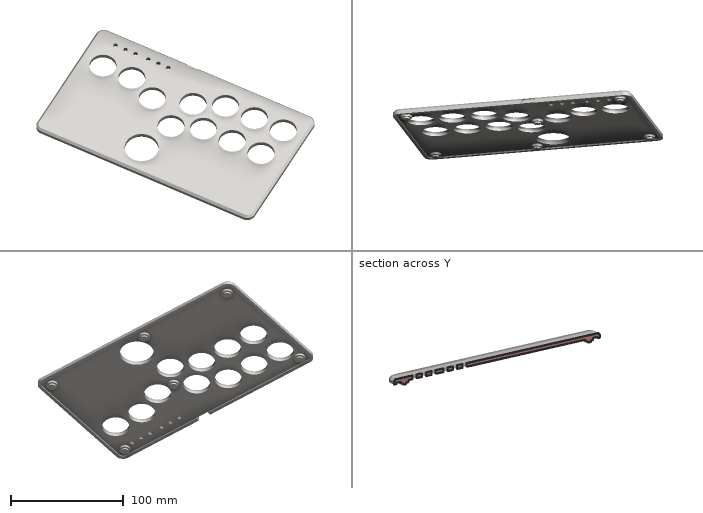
import cadquery as cq

LENGTH = 218.0
WIDTH = 126.5
TOTAL_HEIGHT = 7.2
CORNER_RADIUS = 7.5
TOP_CHAMFER = 2.0
PANEL_THICKNESS = 4.0
WALL_THICKNESS = 3.0

POST_DIAMETER = 10.0
POST_DROP = 0.76
PIN_DIAMETER = 6.3
PIN_LENGTH = 1.3
CASE_HEIGHT = TOTAL_HEIGHT - POST_DROP - PIN_LENGTH
CAVITY_DEPTH = CASE_HEIGHT - PANEL_THICKNESS
STANDOFF_X = 97.7
BACK_STANDOFF_Y = 53.5
FRONT_STANDOFF_Y = -52.0
MIDDLE_STANDOFF = (-11.8, 12.6)
FRONT_MIDDLE_STANDOFF_X = 5.0

BUTTON_DIAMETER = 24.0
THUMB_DIAMETER = 30.0
THUMB_CENTER = (-13.5, -38.5)
BUTTON_PITCH = 29.0
SINGLE_CENTERS = [(-31.0, 14.4), (4.0, 25.7), (-1.7, -5.2)]
LEFT_ROW_START = (-86.5, 25.7)
LEFT_ROW_COUNT = 2
UPPER_ROW_START = (30.3, 37.3)
LOWER_ROW_START = (24.9, 5.7)
RIGHT_ROW_COUNT = 3

SMALL_DIAMETER = 4.0
SMALL_Y = 50.8
SMALL_PITCH = 10.0
SMALL_GROUP_STARTS = [-87.2, -54.3]
SMALL_COUNT = 3

PORT_CENTER_X = -16.1
PORT_WIDTH = 12.5
PORT_CORNER_RADIUS = 1.7
PORT_BREAKOUT = 1.3
PORT_HEIGHT = CASE_HEIGHT - TOP_CHAMFER + PORT_BREAKOUT


def row(start, pitch, count):
    """Centres of evenly spaced holes running in +X from start."""
    return [(start[0] + i * pitch, start[1]) for i in range(count)]


def through_holes(centers, diameter):
    return cq.Workplane("XY").pushPoints(centers).circle(diameter / 2).extrude(CASE_HEIGHT)


def make_case():
    case = cq.Workplane("XY").rect(LENGTH, WIDTH).extrude(CASE_HEIGHT)
    case = case.edges("|Z").fillet(CORNER_RADIUS).faces(">Z").edges().chamfer(TOP_CHAMFER)
    cavity = (
        cq.Workplane("XY")
        .rect(LENGTH - 2 * WALL_THICKNESS, WIDTH - 2 * WALL_THICKNESS)
        .extrude(CAVITY_DEPTH)
        .edges("|Z")
        .fillet(CORNER_RADIUS - WALL_THICKNESS)
    )
    return case.cut(cavity)


def make_port():
    port = (
        cq.Workplane("XY")
        .center(PORT_CENTER_X, WIDTH / 2)
        .rect(PORT_WIDTH, 2 * WALL_THICKNESS)
        .extrude(PORT_HEIGHT)
    )
    return port.faces(">Z").edges("|Y").fillet(PORT_CORNER_RADIUS)


def make_standoffs():
    centers = [(x, y) for x in (-STANDOFF_X, STANDOFF_X) for y in (FRONT_STANDOFF_Y, BACK_STANDOFF_Y)]
    centers += [MIDDLE_STANDOFF, (FRONT_MIDDLE_STANDOFF_X, FRONT_STANDOFF_Y)]
    roots = cq.Workplane("XY").workplane(offset=CAVITY_DEPTH).pushPoints(centers)
    post_length = CAVITY_DEPTH + POST_DROP
    posts = roots.circle(POST_DIAMETER / 2).extrude(-post_length)
    pins = roots.circle(PIN_DIAMETER / 2).extrude(-post_length - PIN_LENGTH)
    return posts.union(pins)


buttons = SINGLE_CENTERS + row(LEFT_ROW_START, BUTTON_PITCH, LEFT_ROW_COUNT)
buttons += row(UPPER_ROW_START, BUTTON_PITCH, RIGHT_ROW_COUNT)
buttons += row(LOWER_ROW_START, BUTTON_PITCH, RIGHT_ROW_COUNT)

small_holes = []
for group_start in SMALL_GROUP_STARTS:
    small_holes += row((group_start, SMALL_Y), SMALL_PITCH, SMALL_COUNT)

result = (
    make_case()
    .cut(through_holes(buttons, BUTTON_DIAMETER))
    .cut(through_holes([THUMB_CENTER], THUMB_DIAMETER))
    .cut(through_holes(small_holes, SMALL_DIAMETER))
    .cut(make_port())
    .union(make_standoffs())
)